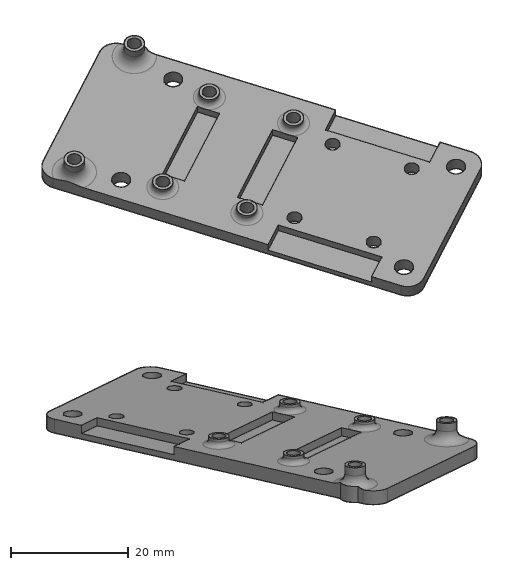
import cadquery as cq

LENGTH = 70.0
WIDTH = 32.0
THICKNESS = 2.5
CORNER_RADIUS = 3.0
TOTAL_HEIGHT = 6.0
LEFT = -LENGTH / 2

MOUNT_HOLE_DIAMETER = 3.2
MOUNT_HOLE_X = (LEFT + 13.9, LEFT + 65.95)
MOUNT_HOLE_Y = 12.0
BOARD_HOLE_DIAMETER = 2.5
BOARD_HOLE_X = (LEFT + 44.5, LEFT + 59.1)
BOARD_HOLE_Y = 8.75

STANDOFF_DIAMETER = 3.5
STANDOFF_BORE = 2.4
TALL_HEIGHT = TOTAL_HEIGHT - THICKNESS
TALL_FLARE = 2.0
TALL_X = LEFT + 5.9
TALL_FRONT_Y = -13.4
TALL_BACK_Y = 14.2
SHORT_HEIGHT = 1.5
SHORT_FLARE = 1.0
SHORT_X = (LEFT + 21.15, LEFT + 36.6)
SHORT_Y = (-10.85, 10.6)

OVERHANG = 0.8
LOBE_RADIUS = WIDTH / 2 + OVERHANG - TALL_BACK_Y

RECESS_DEPTH = 1.5
SLOT_FRONT_Y = -8.2
SLOT_BACK_Y = 7.9
SLOT_X_RANGES = ((LEFT + 20.0, LEFT + 24.1), (LEFT + 33.8, LEFT + 38.4))
BACK_NOTCH_X = (LEFT + 42.2, LEFT + 61.4)
BACK_NOTCH_WIDTH = 4.75
FRONT_NOTCH_X = (LEFT + 42.55, LEFT + 61.6)
FRONT_NOTCH_WIDTH = 4.7


def outline(height):
    """Plate footprint, including the lobe, extruded from Z = 0."""
    plate = cq.Workplane("XY").rect(LENGTH, WIDTH).extrude(height).edges("|Z").fillet(CORNER_RADIUS)
    lobe = cq.Workplane("XY").center(TALL_X, TALL_BACK_Y).circle(LOBE_RADIUS).extrude(height)
    return plate.union(lobe)


def standoff(x, y, height, flare):
    """Solid post whose foot spreads into the plate with a quarter-round flare."""
    radius = STANDOFF_DIAMETER / 2
    arc_centre = radius + flare
    arc_offset = flare * 0.5 ** 0.5
    profile = (
        cq.Workplane("XZ")
        .moveTo(0, -THICKNESS)
        .lineTo(arc_centre, -THICKNESS)
        .lineTo(arc_centre, 0)
        .threePointArc((arc_centre - arc_offset, flare - arc_offset), (radius, flare))
        .lineTo(radius, height)
        .lineTo(0, height)
        .close()
    )
    return profile.revolve(360, (0, 0, 0), (0, 1, 0)).translate((x, y, THICKNESS))


def recess(x_range, y_range):
    """Rectangular cutter reaching down from the top face of the plate."""
    x_start, x_end = x_range
    y_start, y_end = y_range
    cutter = cq.Workplane("XY").box(x_end - x_start, y_end - y_start, RECESS_DEPTH, centered=False)
    return cutter.translate((x_start, y_start, THICKNESS - RECESS_DEPTH))


def through_holes(points, diameter):
    return cq.Workplane("XY").pushPoints(points).circle(diameter / 2).extrude(TOTAL_HEIGHT)


tall_points = [(TALL_X, TALL_FRONT_Y), (TALL_X, TALL_BACK_Y)]
short_points = [(x, y) for x in SHORT_X for y in SHORT_Y]
mount_points = [(x, y) for x in MOUNT_HOLE_X for y in (-MOUNT_HOLE_Y, MOUNT_HOLE_Y)]
board_points = [(x, y) for x in BOARD_HOLE_X for y in (-BOARD_HOLE_Y, BOARD_HOLE_Y)]

result = outline(THICKNESS)
for x, y in tall_points:
    result = result.union(standoff(x, y, TALL_HEIGHT, TALL_FLARE).intersect(outline(TOTAL_HEIGHT)))
for x, y in short_points:
    result = result.union(standoff(x, y, SHORT_HEIGHT, SHORT_FLARE))

for slot_x in SLOT_X_RANGES:
    result = result.cut(recess(slot_x, (SLOT_FRONT_Y, SLOT_BACK_Y)))
result = result.cut(recess(BACK_NOTCH_X, (WIDTH / 2 - BACK_NOTCH_WIDTH, WIDTH / 2)))
result = result.cut(recess(FRONT_NOTCH_X, (-WIDTH / 2, FRONT_NOTCH_WIDTH - WIDTH / 2)))

result = result.cut(through_holes(tall_points + short_points, STANDOFF_BORE))
result = result.cut(through_holes(mount_points, MOUNT_HOLE_DIAMETER))
result = result.cut(through_holes(board_points, BOARD_HOLE_DIAMETER))